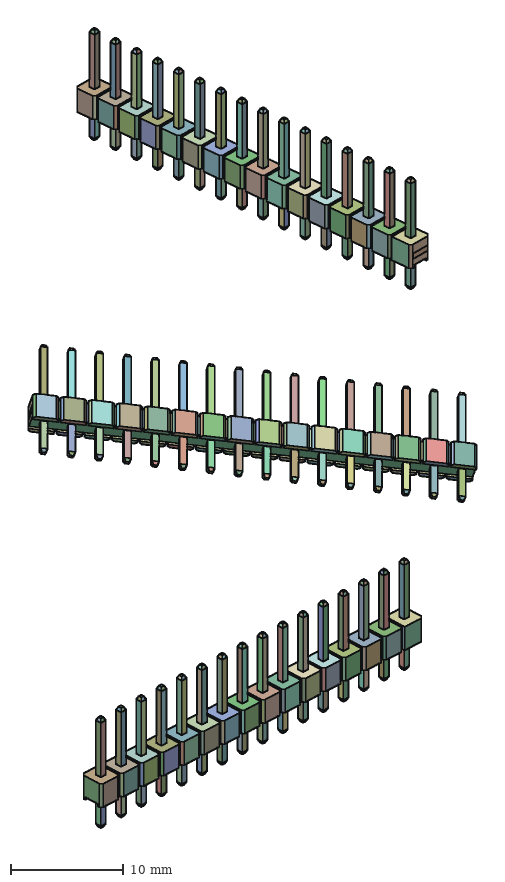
import cadquery as cq

total_length = 40.45
pin_count = 16

block_length = 2.35
block_depth = 2.5
block_height = 2.45
corner_chamfer = 0.25
channel_width = 1.55
channel_depth = 0.25

web_depth = 1.95
web_height = 2.02
web_overlap = 0.1

nub_length = 0.01
nub_height = 0.55

pin_width = 0.65
tip_width = 0.32
tip_length = 0.32
pin_above_block = 6.03
pin_below_block = 3.0

pitch = (total_length - nub_length - block_length) / (pin_count - 1)
block_gap = pitch - block_length

block_center_z = block_height / 2
pin_bottom = -pin_below_block
pin_top = block_height + pin_above_block
first_pin_x = -total_length / 2 + block_length / 2
pin_positions = [first_pin_x + i * pitch for i in range(pin_count)]


def make_block(x, chamfered_corners="|Z"):
    """Housing block with the selected upright edges chamfered."""
    return (
        cq.Workplane("XY")
        .box(block_length, block_depth, block_height)
        .edges(chamfered_corners)
        .chamfer(corner_chamfer)
        .translate((x, 0, block_center_z))
    )


def make_bar(x_start, x_end, depth, height):
    """Box along X, centred on the blocks in Y and Z."""
    return cq.Workplane("XY").box(x_end - x_start, depth, height).translate(
        ((x_start + x_end) / 2, 0, block_center_z)
    )


def make_tip(x, z_base, direction):
    """Pyramid-shaped pin end that narrows away from z_base."""
    return (
        cq.Workplane("XY")
        .workplane(offset=z_base)
        .center(x, 0)
        .rect(pin_width, pin_width)
        .workplane(offset=direction * tip_length)
        .rect(tip_width, tip_width)
        .loft()
    )


def make_pin(x):
    """Square pin running right through its block."""
    shank_bottom = pin_bottom + tip_length
    shank_top = pin_top - tip_length
    shank = (
        cq.Workplane("XY")
        .workplane(offset=shank_bottom)
        .center(x, 0)
        .rect(pin_width, pin_width)
        .extrude(shank_top - shank_bottom)
    )
    return shank.union(make_tip(x, shank_top, 1)).union(make_tip(x, shank_bottom, -1))


housing = make_block(pin_positions[-1], "|Z and (>X or >Y)")
for x in pin_positions[:-1]:
    housing = housing.union(make_block(x))
for x in pin_positions[:-1]:
    gap_start = x + block_length / 2
    web = make_bar(gap_start - web_overlap, gap_start + block_gap + web_overlap, web_depth, web_height)
    housing = housing.union(web)

last_block_end = pin_positions[-1] + block_length / 2
nub = make_bar(last_block_end - web_overlap, last_block_end + nub_length, web_depth, nub_height)
housing = housing.union(nub)

channel = (
    cq.Workplane("XY")
    .box(total_length, channel_width, channel_depth)
    .translate((0, 0, channel_depth / 2))
)
result = housing.cut(channel)

for x in pin_positions:
    result = result.union(make_pin(x))

result = result.translate((0, 0, -(pin_top + pin_bottom) / 2))